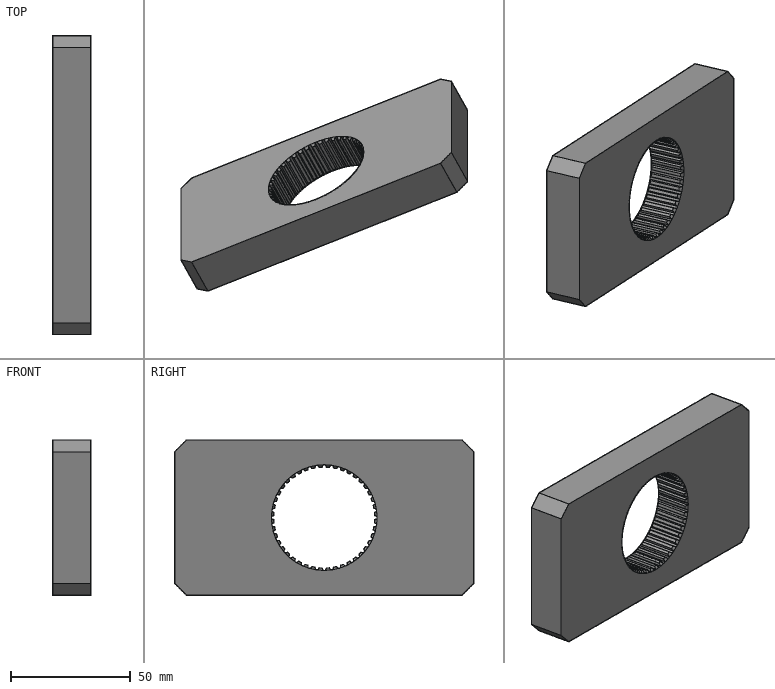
import cadquery as cq
import math

THICKNESS = 16.0
LENGTH = 125.0
HEIGHT = 65.0
CORNER_CHAMFER = 5.0

TOOTH_COUNT = 44
TIP_RADIUS = 21.05
ROOT_RADIUS = 22.0
GROOVE_MOUTH_WIDTH = 1.7
GROOVE_ROOT_WIDTH = 1.0

LEAD_IN_ANGLE = 45.0
LEAD_IN_RADIUS = ROOT_RADIUS + 0.05


def polar_point(radius, angle):
    return (radius * math.cos(angle), radius * math.sin(angle))


def half_angle(width, radius):
    """Half of the angle that a chord of the given width spans on a circle."""
    return math.asin(width / 2 / radius)


def left_face():
    """Sketch plane on the -X face, with local x along +Y and local y along +Z."""
    return cq.Workplane("YZ", origin=(-THICKNESS / 2, 0, 0))


def make_plate():
    """Rectangular plate with its four corners cut at 45 degrees."""
    plate = left_face().rect(LENGTH, HEIGHT).extrude(THICKNESS)
    return plate.edges("|X").chamfer(CORNER_CHAMFER)


def make_spline_bore():
    """Cutter for the toothed bore: straight-flanked grooves, the first centred on +Y."""
    pitch_angle = 2 * math.pi / TOOTH_COUNT
    mouth = half_angle(GROOVE_MOUTH_WIDTH, TIP_RADIUS)
    root = half_angle(GROOVE_ROOT_WIDTH, ROOT_RADIUS)

    profile = left_face().moveTo(*polar_point(TIP_RADIUS, -mouth))
    for index in range(TOOTH_COUNT):
        groove = index * pitch_angle
        tooth = groove + pitch_angle / 2
        next_groove = groove + pitch_angle
        profile = (
            profile.lineTo(*polar_point(ROOT_RADIUS, groove - root))
            .threePointArc(polar_point(ROOT_RADIUS, groove), polar_point(ROOT_RADIUS, groove + root))
            .lineTo(*polar_point(TIP_RADIUS, groove + mouth))
            .threePointArc(polar_point(TIP_RADIUS, tooth), polar_point(TIP_RADIUS, next_groove - mouth))
        )
    return profile.close().extrude(THICKNESS)


def make_lead_in():
    """Cutter for the lead-in on the -X face: a cone narrowing to the tooth tips."""
    depth = (LEAD_IN_RADIUS - TIP_RADIUS) / math.tan(math.radians(LEAD_IN_ANGLE))
    return left_face().circle(LEAD_IN_RADIUS).extrude(depth, taper=LEAD_IN_ANGLE)


lead_in = make_lead_in()
opposite_lead_in = lead_in.mirror("YZ")
result = make_plate().cut(make_spline_bore()).cut(lead_in).cut(opposite_lead_in)